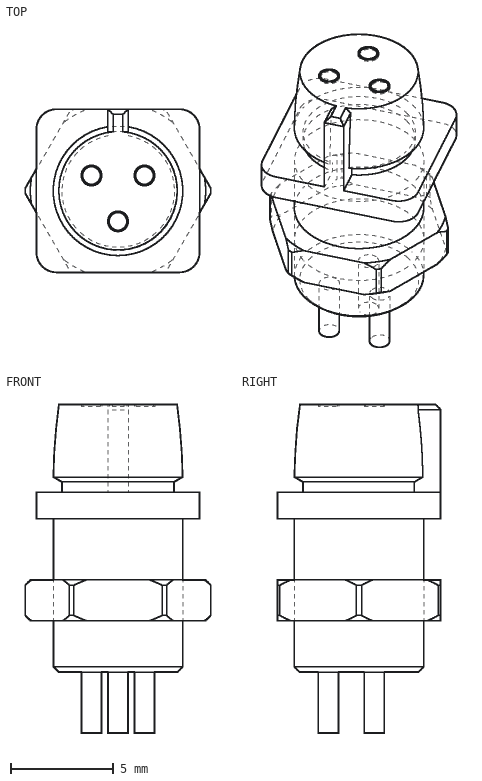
import cadquery as cq
import math

total_height = 16.1
body_bottom = 3.0
nut_bottom = 5.5
flange_bottom = 10.5
flange_top = 11.8
head_bottom = 12.3
head_widest = 12.54

body_radius = 3.17
body_chamfer = 0.25
neck_radius = 2.75
head_top_radius = 2.9
head_mid_radius = 3.09
flange_width = 8.0
flange_corner_radius = 1.0
key_width = 1.0
key_chamfer = 0.25

pin_count = 3
pin_circle_radius = 1.5
first_pin_angle = 30
pin_radius = 0.5
ring_groove_width = 0.06
ring_groove_depth = 0.1

nut_height = 2.0
nut_across_flats = flange_width
nut_outer_radius = 4.548
nut_chamfer = 0.25


def make_barrel():
    """Round body, neck and tapered head, revolved about Z."""
    head_middle = (head_widest + total_height) / 2
    return (
        cq.Workplane("XZ")
        .moveTo(0, body_bottom)
        .lineTo(body_radius - body_chamfer, body_bottom)
        .lineTo(body_radius, body_bottom + body_chamfer)
        .lineTo(body_radius, flange_bottom)
        .lineTo(neck_radius, flange_bottom)
        .lineTo(neck_radius, head_bottom)
        .lineTo(body_radius, head_widest)
        .threePointArc((head_mid_radius, head_middle), (head_top_radius, total_height))
        .lineTo(0, total_height)
        .close()
        .revolve(360, (0, 0, 0), (0, 1, 0))
    )


def make_flange():
    """Square flange with rounded corners."""
    return (
        cq.Workplane("XY", origin=(0, 0, flange_bottom))
        .rect(flange_width, flange_width)
        .extrude(flange_top - flange_bottom)
        .edges("|Z")
        .fillet(flange_corner_radius)
    )


def make_key():
    """Upright key on the +Y side, from the flange to the top of the head."""
    key_length = flange_width / 2
    return (
        cq.Workplane("XY", origin=(0, key_length / 2, flange_bottom))
        .rect(key_width, key_length)
        .extrude(total_height - flange_bottom)
        .faces(">Z")
        .edges(">Y or <X or >X")
        .chamfer(key_chamfer)
    )


def at_pins(height):
    """Workplane at the given height with a point on each pin axis."""
    return cq.Workplane("XY", origin=(0, 0, height)).polarArray(
        pin_circle_radius, first_pin_angle, 360, pin_count
    )


def make_housing():
    """Barrel, flange, key and pins, with a fine ring groove around each contact."""
    pins = at_pins(0).circle(pin_radius).extrude(flange_bottom)
    grooves = (
        at_pins(total_height - ring_groove_depth)
        .circle(pin_radius)
        .circle(pin_radius - ring_groove_width)
        .extrude(ring_groove_depth)
    )
    return make_barrel().union(make_flange()).union(make_key()).union(pins).cut(grooves)


def make_nut():
    """Hexagonal nut with corners trimmed by a chamfered cylinder, bored to fit the body."""
    corner_diameter = nut_across_flats / math.cos(math.pi / 6)
    base = cq.Workplane("XY", origin=(0, 0, nut_bottom))
    hexagon = base.polygon(6, corner_diameter).extrude(nut_height)
    envelope = base.circle(nut_outer_radius).extrude(nut_height).edges().chamfer(nut_chamfer)
    bore = base.circle(body_radius).extrude(nut_height)
    return hexagon.intersect(envelope).cut(bore)


housing = make_housing()
nut = make_nut()

result = cq.Compound.makeCompound([housing.val(), nut.val()])